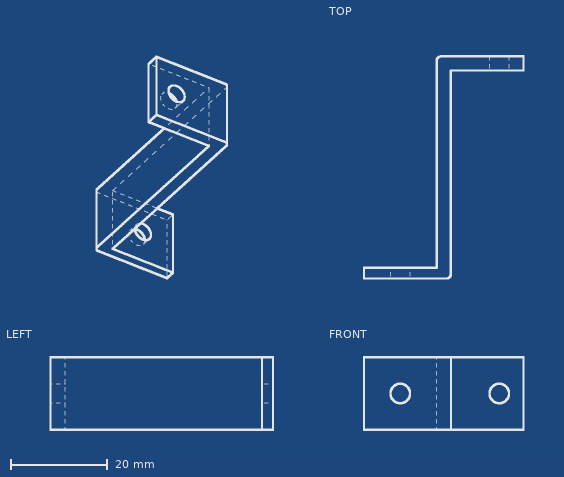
import cadquery as cq

width = 33.0
length = 46.0
height = 15.0

web_thickness = 3.0
web_left = 15.0
web_right = web_left + web_thickness
front_flange_thickness = 2.3
rear_flange_thickness = 3.0
corner_radius = 1.0

hole_diameter = 4.0
front_hole_x = 7.5
rear_hole_x = width - 5.0


def z_profile_body():
    """Extrude the Z-shaped outline, then round its two outer bends."""
    body = (
        cq.Workplane("XY")
        .moveTo(0, 0)
        .lineTo(web_right, 0)
        .lineTo(web_right, length - rear_flange_thickness)
        .lineTo(width, length - rear_flange_thickness)
        .lineTo(width, length)
        .lineTo(web_left, length)
        .lineTo(web_left, front_flange_thickness)
        .lineTo(0, front_flange_thickness)
        .close()
        .extrude(height)
    )
    for x, y in ((web_right, 0), (web_left, length)):
        bend_edge = cq.selectors.NearestToPointSelector((x, y, height / 2))
        body = body.edges(bend_edge).fillet(corner_radius)
    return body


def flange_hole(x, y_start, thickness):
    """Cylinder along +Y, through one flange at mid-height."""
    return cq.Workplane(
        cq.Solid.makeCylinder(
            hole_diameter / 2,
            thickness,
            cq.Vector(x, y_start, height / 2),
            cq.Vector(0, 1, 0),
        )
    )


result = (
    z_profile_body()
    .cut(flange_hole(front_hole_x, 0, front_flange_thickness))
    .cut(flange_hole(rear_hole_x, length - rear_flange_thickness, rear_flange_thickness))
)